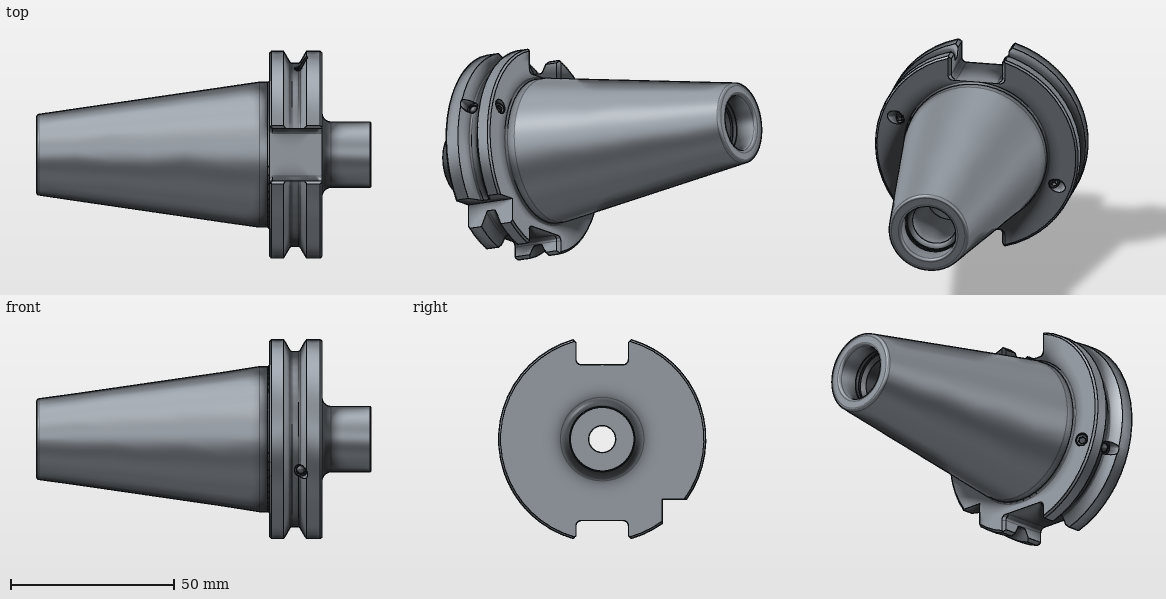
import cadquery as cq
import math

TOTAL_LENGTH = 102.4
TAPER_END_X = 68.3
FLANGE_FRONT_X = 71.3
FLANGE_BACK_X = 87.4
FLANGE_WIDTH = FLANGE_BACK_X - FLANGE_FRONT_X

TAPER_TIP_RADIUS = 12.3
TAPER_SLOPE = 7 / 48
TIP_FILLET = 0.9
COLLAR_RADIUS = TAPER_TIP_RADIUS + TAPER_SLOPE * TAPER_END_X
COLLAR_FILLET = 0.6

FLANGE_RADIUS = 31.7
FLANGE_CHAMFER = 0.6
GROOVE_FLOOR_RADIUS = 28.0
GROOVE_CENTER_X = 79.1
GROOVE_MOUTH_WIDTH = 7.1
GROOVE_FLANK_ANGLE = 30.0
GROOVE_FILLET = 0.7

SPIGOT_RADIUS = 10.0
SPIGOT_FILLET = 2.8
SPIGOT_CHAMFER = 0.3

BORE_MOUTH_FILLET = 0.8
ENTRY_RADIUS = 8.5
ENTRY_DEPTH = 9.1
RELIEF_RADIUS = 8.7
RELIEF_END_X = 8.5
RELIEF_WIDTH = 1.4
THREAD_RADIUS = 7.0
THREAD_END_X = 30.7
THROUGH_RADIUS = 4.1
BORE_CONE_ANGLE = 60.0

SLOT_HALF_WIDTH = 8.0
UPPER_SLOT_FLOOR = 22.8
LOWER_SLOT_FLOOR = 25.0
SLOT_FILLET = 1.5
SLOT_CHAMFER = 0.9
NOTCH_CORNER = 18.4

HOLE_DIAMETER = 4.0
HOLE_RADIUS = HOLE_DIAMETER / 2
SCREW_LENGTH = 4.1
SCREW_CHAMFER = 0.3
SOCKET_ACROSS_FLATS = 2.0
SOCKET_DEPTH = 1.5
HOLE_ANGLES = (20.0, 200.0)
FACE_HOLE_RADIUS = 26.9
FACE_HOLE_TILT = 40.0
FACE_SCREW_RECESS = 1.7
GROOVE_HOLE_X = 81.0
SLEEVE_RECESS = 0.5
SLEEVE_LENGTH = 4.1
BALL_RADIUS = 1.4
BALL_DEPTH = 1.0


def cone_length(outer_radius, inner_radius):
    return (outer_radius - inner_radius) / math.tan(math.radians(BORE_CONE_ANGLE))


def revolve_about_x(profile):
    return profile.close().revolve(360, (0, 0, 0), (1, 0, 0))


def make_blank():
    fillet_mid = math.sin(math.radians(45))
    spigot_fillet_x = FLANGE_BACK_X + SPIGOT_FILLET
    spigot_fillet_r = SPIGOT_RADIUS + SPIGOT_FILLET
    collar_fillet_x = FLANGE_FRONT_X - COLLAR_FILLET
    collar_fillet_r = COLLAR_RADIUS + COLLAR_FILLET
    profile = (
        cq.Workplane("XY")
        .moveTo(0, 0)
        .lineTo(0, TAPER_TIP_RADIUS)
        .lineTo(TAPER_END_X, COLLAR_RADIUS)
        .lineTo(collar_fillet_x, COLLAR_RADIUS)
        .threePointArc(
            (collar_fillet_x + COLLAR_FILLET * fillet_mid, collar_fillet_r - COLLAR_FILLET * fillet_mid),
            (FLANGE_FRONT_X, collar_fillet_r),
        )
        .lineTo(FLANGE_FRONT_X, FLANGE_RADIUS - FLANGE_CHAMFER)
        .lineTo(FLANGE_FRONT_X + FLANGE_CHAMFER, FLANGE_RADIUS)
        .lineTo(FLANGE_BACK_X - FLANGE_CHAMFER, FLANGE_RADIUS)
        .lineTo(FLANGE_BACK_X, FLANGE_RADIUS - FLANGE_CHAMFER)
        .lineTo(FLANGE_BACK_X, spigot_fillet_r)
        .threePointArc(
            (spigot_fillet_x - SPIGOT_FILLET * fillet_mid, spigot_fillet_r - SPIGOT_FILLET * fillet_mid),
            (spigot_fillet_x, SPIGOT_RADIUS),
        )
        .lineTo(TOTAL_LENGTH - SPIGOT_CHAMFER, SPIGOT_RADIUS)
        .lineTo(TOTAL_LENGTH, SPIGOT_RADIUS - SPIGOT_CHAMFER)
        .lineTo(TOTAL_LENGTH, 0)
    )
    return revolve_about_x(profile).faces("<X").edges().fillet(TIP_FILLET)


def make_groove_cutter():
    depth = FLANGE_RADIUS - GROOVE_FLOOR_RADIUS
    mouth_half = GROOVE_MOUTH_WIDTH / 2
    floor_half = mouth_half - depth * math.tan(math.radians(GROOVE_FLANK_ANGLE))
    profile = (
        cq.Workplane("XY")
        .moveTo(GROOVE_CENTER_X - mouth_half, FLANGE_RADIUS)
        .lineTo(GROOVE_CENTER_X - floor_half, GROOVE_FLOOR_RADIUS)
        .lineTo(GROOVE_CENTER_X + floor_half, GROOVE_FLOOR_RADIUS)
        .lineTo(GROOVE_CENTER_X + mouth_half, FLANGE_RADIUS)
    )
    ring = revolve_about_x(profile)
    floor_edges = cq.selectors.RadiusNthSelector(0)
    return ring.edges("%CIRCLE").edges(floor_edges).fillet(GROOVE_FILLET)


def make_bore_cutter():
    relief_start_x = RELIEF_END_X - RELIEF_WIDTH
    step_end_x = ENTRY_DEPTH + cone_length(ENTRY_RADIUS, THREAD_RADIUS)
    tip_end_x = THREAD_END_X + cone_length(THREAD_RADIUS, THROUGH_RADIUS)
    profile = cq.Workplane("XY").polyline([
        (0, 0),
        (0, ENTRY_RADIUS),
        (relief_start_x, ENTRY_RADIUS),
        (relief_start_x, RELIEF_RADIUS),
        (RELIEF_END_X, RELIEF_RADIUS),
        (RELIEF_END_X, ENTRY_RADIUS),
        (ENTRY_DEPTH, ENTRY_RADIUS),
        (step_end_x, THREAD_RADIUS),
        (THREAD_END_X, THREAD_RADIUS),
        (tip_end_x, THROUGH_RADIUS),
        (TOTAL_LENGTH, THROUGH_RADIUS),
        (TOTAL_LENGTH, 0),
    ])
    return revolve_about_x(profile)


def slot_outline(plane, half_width, floor):
    """U-shaped outline, open beyond the flange, with rounded floor corners."""
    corner_y = half_width - SLOT_FILLET
    corner_z = floor + SLOT_FILLET
    arc_shift = SLOT_FILLET * math.sin(math.radians(45))
    return (
        plane.moveTo(-half_width, FLANGE_RADIUS)
        .lineTo(-half_width, corner_z)
        .threePointArc((-corner_y - arc_shift, corner_z - arc_shift), (-corner_y, floor))
        .lineTo(corner_y, floor)
        .threePointArc((corner_y + arc_shift, corner_z - arc_shift), (half_width, corner_z))
        .lineTo(half_width, FLANGE_RADIUS)
        .close()
    )


def make_slot_cutter(floor):
    """Drive slot on the +Z side, with chamfered front and outer edges."""
    wide_half = SLOT_HALF_WIDTH + SLOT_CHAMFER
    front = cq.Workplane("YZ", origin=(FLANGE_FRONT_X, 0, 0))
    slot = slot_outline(front, SLOT_HALF_WIDTH, floor).extrude(FLANGE_WIDTH)
    front_chamfer = slot_outline(front, wide_half, floor).workplane(offset=SLOT_CHAMFER)
    front_chamfer = slot_outline(front_chamfer, SLOT_HALF_WIDTH, floor).loft(ruled=True)
    edge_z = math.sqrt(FLANGE_RADIUS**2 - wide_half**2)
    outer_chamfer = front.polyline([
        (-wide_half, FLANGE_RADIUS),
        (-wide_half, edge_z),
        (-SLOT_HALF_WIDTH, edge_z - SLOT_CHAMFER),
        (SLOT_HALF_WIDTH, edge_z - SLOT_CHAMFER),
        (wide_half, edge_z),
        (wide_half, FLANGE_RADIUS),
    ]).close().extrude(FLANGE_WIDTH)
    return slot.union(front_chamfer).union(outer_chamfer)


def make_notch_cutter():
    size = FLANGE_RADIUS - NOTCH_CORNER
    return cq.Workplane("XY").box(FLANGE_WIDTH, size, size, centered=False).translate(
        (FLANGE_FRONT_X, NOTCH_CORNER, -FLANGE_RADIUS)
    )


def face_hole_plane():
    """Plane on the front face for a hole at angle 0; its normal points out of the hole."""
    tilt = math.radians(FACE_HOLE_TILT)
    outward = (-math.cos(tilt), math.sin(tilt), 0)
    return cq.Plane(origin=(FLANGE_FRONT_X, FACE_HOLE_RADIUS, 0), xDir=(0, 0, 1), normal=outward)


def groove_hole_plane():
    """Plane on the groove floor for a radial hole at angle 0; its normal points outwards."""
    return cq.Plane(origin=(GROOVE_HOLE_X, GROOVE_FLOOR_RADIUS, 0), xDir=(0, 0, 1), normal=(0, 1, 0))


def make_hole_cutter(plane, depth):
    clearance = FLANGE_RADIUS - GROOVE_FLOOR_RADIUS
    return cq.Workplane(plane).workplane(offset=-depth).circle(HOLE_RADIUS).extrude(depth + clearance)


def make_set_screw(plane):
    top = cq.Workplane(plane).workplane(offset=-FACE_SCREW_RECESS)
    body = top.circle(HOLE_RADIUS).extrude(-SCREW_LENGTH).edges().chamfer(SCREW_CHAMFER)
    across_corners = SOCKET_ACROSS_FLATS / math.cos(math.radians(30))
    socket = top.polygon(6, across_corners).extrude(-SOCKET_DEPTH)
    return body.cut(socket)


def make_plug_sleeve(plane):
    top = cq.Workplane(plane).workplane(offset=-SLEEVE_RECESS)
    sleeve = top.circle(HOLE_RADIUS).extrude(-SLEEVE_LENGTH)
    pocket = top.circle(BALL_RADIUS).extrude(-BALL_DEPTH - BALL_RADIUS)
    return sleeve.cut(pocket)


def make_plug_ball(plane):
    center = cq.Workplane(plane).workplane(offset=-SLEEVE_RECESS - BALL_DEPTH)
    return center.sphere(BALL_RADIUS)


def turn_about_axis(shape, angle):
    return shape.rotate((0, 0, 0), (1, 0, 0), angle)


holder = make_blank().cut(make_groove_cutter()).cut(make_bore_cutter())
bore_mouth = cq.selectors.RadiusNthSelector(0)
holder = holder.faces("<X").edges(bore_mouth).fillet(BORE_MOUTH_FILLET)
holder = holder.cut(make_slot_cutter(UPPER_SLOT_FLOOR))
holder = holder.cut(turn_about_axis(make_slot_cutter(LOWER_SLOT_FLOOR), 180))
holder = holder.cut(make_notch_cutter())

face_plane = face_hole_plane()
groove_plane = groove_hole_plane()
face_hole = make_hole_cutter(face_plane, FACE_SCREW_RECESS + SCREW_LENGTH)
groove_hole = make_hole_cutter(groove_plane, SLEEVE_RECESS + SLEEVE_LENGTH)
set_screws = []
plug_sleeves = []
plug_balls = []
for angle in HOLE_ANGLES:
    holder = holder.cut(turn_about_axis(face_hole, angle))
    holder = holder.cut(turn_about_axis(groove_hole, angle))
    set_screws.append(turn_about_axis(make_set_screw(face_plane), angle).val())
    plug_sleeves.append(turn_about_axis(make_plug_sleeve(groove_plane), angle).val())
    plug_balls.append(turn_about_axis(make_plug_ball(groove_plane), angle).val())

result = cq.Compound.makeCompound([holder.val(), *set_screws, *plug_sleeves, *plug_balls])